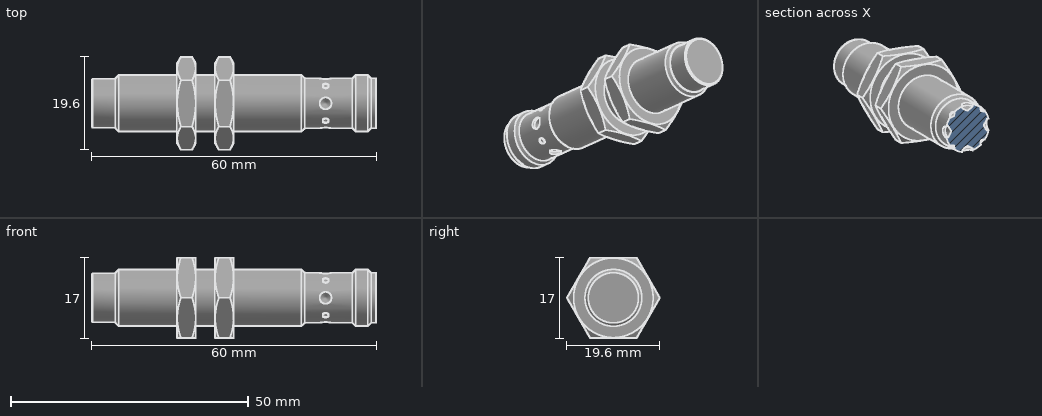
import cadquery as cq
import math

length = 60.0
barrel_radius = 6.0

tip_radius = 5.2
tip_chamfer = 0.25
tip_length = 5.0

neck_radius = 5.3
body_end = 44.2
neck_start = 45.0
neck_end = 55.0
bevel = barrel_radius - neck_radius

collar_end = 58.25

hole_x = 49.35
large_hole_radius = 1.25
large_hole_depth = 0.6
small_hole_radius = 0.65
small_hole_depth = 0.25
drill_point_angle = 118.0
holes_per_ring = 4
hole_pitch = 360.0 / holes_per_ring

nut_width = 17.0
nut_thickness = 4.0
nut_starts = (18.0, 26.0)
nut_face_radius = 8.4
nut_chamfer_angle = 30.0
nut_corner_radius = nut_width / math.sqrt(3)
nut_chamfer_depth = (nut_corner_radius - nut_face_radius) * math.tan(math.radians(nut_chamfer_angle))


def revolve_about_x(points):
    """Revolve an (x, radius) outline into a solid about the X axis."""
    return cq.Workplane("XY").polyline(points).close().revolve(360, (0, 0, 0), (1, 0, 0))


def make_drill(radius, depth, angle):
    """Drill with a conical point entering the neck radially, turned by angle about the X axis."""
    point_length = radius / math.tan(math.radians(drill_point_angle / 2))
    drill = (
        cq.Workplane("XZ", origin=(hole_x, 0, 0))
        .moveTo(0, neck_radius)
        .lineTo(radius, neck_radius)
        .lineTo(radius, neck_radius - depth)
        .lineTo(0, neck_radius - depth - point_length)
        .close()
        .revolve(360, (0, 0, 0), (0, 1, 0))
    )
    return drill.rotate((0, 0, 0), (1, 0, 0), angle)


def make_barrel():
    barrel = revolve_about_x([
        (0, 0),
        (0, tip_radius - tip_chamfer),
        (tip_chamfer, tip_radius),
        (tip_length, tip_radius),
        (tip_length, neck_radius),
        (tip_length + bevel, barrel_radius),
        (body_end, barrel_radius),
        (neck_start, neck_radius),
        (neck_end, neck_radius),
        (neck_end + bevel, barrel_radius),
        (collar_end, barrel_radius),
        (collar_end + bevel, neck_radius),
        (length, neck_radius),
        (length, 0),
    ])
    for index in range(holes_per_ring):
        angle = index * hole_pitch
        barrel = barrel.cut(make_drill(large_hole_radius, large_hole_depth, angle))
        barrel = barrel.cut(make_drill(small_hole_radius, small_hole_depth, angle + hole_pitch / 2))
    return barrel


def make_nut(start):
    """Hexagon nut with flats at top and bottom, bored to fit the barrel."""
    hexagon = (
        cq.Workplane("YZ", origin=(start, 0, 0))
        .polygon(6, 2 * nut_corner_radius)
        .extrude(nut_thickness)
    )
    chamfer_envelope = revolve_about_x([
        (start, barrel_radius),
        (start, nut_face_radius),
        (start + nut_chamfer_depth, nut_corner_radius),
        (start + nut_thickness - nut_chamfer_depth, nut_corner_radius),
        (start + nut_thickness, nut_face_radius),
        (start + nut_thickness, barrel_radius),
    ])
    return hexagon.intersect(chamfer_envelope)


barrel = make_barrel()
nuts = [make_nut(start) for start in nut_starts]

result = cq.Compound.makeCompound([barrel.val(), *[nut.val() for nut in nuts]])